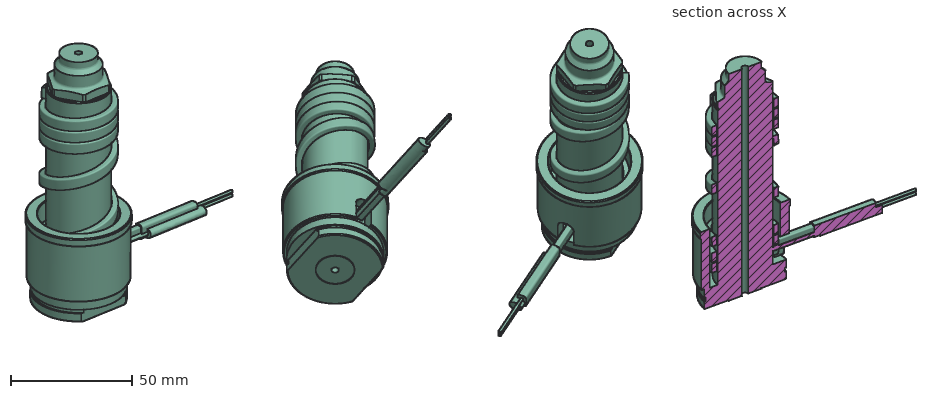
import cadquery as cq
import math

BOSS_HEIGHT = 0.3
GROOVE_BOTTOM = 4.4
GROOVE_TOP = 6.2
SLEEVE_BOTTOM = 10.5
FLANGE_BOTTOM = 36.8
SLEEVE_TOP = 40.6
TUBE_TOP = 100.4
NUT_TOP = 104.9
SHOULDER_TOP = 111.0
TIP_TOP = 116.3

BOSS_RADIUS = 8.0
PLUG_RADIUS = 20.0
GROOVE_RADIUS = 19.25
FLATS_ACROSS = 32.0
SLEEVE_RADIUS = 21.5
FLANGE_RADIUS = 22.0
CAVITY_RADIUS = 17.0
EDGE_CHAMFER = 0.5
MOUTH_CHAMFER = 0.3

TUBE_RADIUS = 13.5
BORE_RADIUS = 1.5
SHOULDER_RADIUS = 10.0
TIP_RADIUS = 8.0
ROOT_FILLET = 1.0
NUT_ACROSS_FLATS = 24.0
NUT_CORNER_RADIUS = 13.5
NUT_BEVEL_ANGLE = 15.0

BAND_HEIGHT = 5.0
BAND_THICKNESS = 2.5
BAND_CLEARANCE = 0.25
BAND_INNER_RADIUS = TUBE_RADIUS + BAND_CLEARANCE
BAND_OUTER_RADIUS = BAND_INNER_RADIUS + BAND_THICKNESS
BAND_MID_RADIUS = BAND_INNER_RADIUS + BAND_THICKNESS / 2
BAND_EDGE_FILLET = 0.6
CLOSE_PITCH = 5.37
OPEN_PITCH = 26.8
BAND_TOP_ANGLE = 1290.0
UPPER_BEND_ANGLE = 138.0
UPPER_BEND_LEVEL = 77.2
LOWER_BEND_ANGLE = -497.0
BAND_BOTTOM_ANGLE = -1350.0
BEND_HALF_SPAN = 59.0
ANGLE_STEP = 15.0

CABLE_ROOT = TUBE_RADIUS - 0.5
CABLE_X = -1.4
CABLE_Z = 19.4
CABLE_WIDTH = 2.8
CABLE_HEIGHT = 5.3
CABLE_FILLET = 0.6
JACKET_THICKNESS = 0.6
JACKET_START = 33.5
JACKET_LENGTH = 30.0
WIRE_RADIUS = 0.65
WIRE_SPACING = 1.9
WIRE_END = 83.5

LEAD_RADIUS = 1.05
LEAD_Z = 18.1
OVAL_WIDTH = 5.7
OVAL_HEIGHT = 4.4
OVAL_START = 36.5

EXIT_SLOT_WIDTH = 7.4

SELECT_MARGIN = 0.1


def cylinder(radius, bottom, top):
    return cq.Workplane("XY").workplane(offset=bottom).circle(radius).extrude(top - bottom)


def along_y(x, z, y_start):
    """Workplane facing +Y at the given start, with local x along -X and local y along Z."""
    return cq.Workplane("XZ", origin=(x, y_start, z)).transformed(rotate=(0, 180, 0))


def make_plug():
    cap = cylinder(PLUG_RADIUS, BOSS_HEIGHT, GROOVE_BOTTOM).faces("<Z").chamfer(EDGE_CHAMFER)
    neck = cylinder(GROOVE_RADIUS, GROOVE_BOTTOM, GROOVE_TOP)
    flats = cq.Workplane("XY").box(
        FLATS_ACROSS, 2 * PLUG_RADIUS, GROOVE_TOP, centered=(True, True, False)
    )
    collar = cylinder(PLUG_RADIUS, GROOVE_TOP, SLEEVE_BOTTOM)
    boss = cylinder(BOSS_RADIUS, 0, BOSS_HEIGHT)
    return cap.union(neck).intersect(flats).union(collar).union(boss)


def make_sleeve():
    body = cylinder(SLEEVE_RADIUS, SLEEVE_BOTTOM, SLEEVE_TOP).faces("<Z").chamfer(EDGE_CHAMFER)
    flange = cylinder(FLANGE_RADIUS, FLANGE_BOTTOM, SLEEVE_TOP).edges().chamfer(EDGE_CHAMFER)
    cavity = cylinder(CAVITY_RADIUS, SLEEVE_BOTTOM, SLEEVE_TOP)
    sleeve = body.union(flange).cut(cavity)
    mouth = sleeve.faces(">Z").edges(cq.selectors.RadiusNthSelector(0))
    return mouth.chamfer(MOUTH_CHAMFER).cut(make_exit_slot())


def make_exit_slot():
    """Round-topped slot through the +Y wall, open at the lower edge of the sleeve."""
    half_width = EXIT_SLOT_WIDTH / 2
    depth = CABLE_Z - SLEEVE_BOTTOM
    return (
        along_y(0, CABLE_Z, 0)
        .moveTo(-half_width, -depth)
        .lineTo(-half_width, 0)
        .threePointArc((0, half_width), (half_width, 0))
        .lineTo(half_width, -depth)
        .close()
        .extrude(FLANGE_RADIUS)
    )


def make_tube():
    tube = cylinder(TUBE_RADIUS, SLEEVE_BOTTOM, TUBE_TOP)
    return tube.faces(">Z").chamfer(EDGE_CHAMFER)


def make_nut():
    """Hexagon with flats facing +-X, rounded corners and a shallow conical top."""
    across_corners = NUT_ACROSS_FLATS / math.cos(math.radians(30))
    hexagon = (
        cq.Workplane("XY")
        .workplane(offset=TUBE_TOP)
        .transformed(rotate=(0, 0, 30))
        .polygon(6, across_corners)
        .extrude(NUT_TOP - TUBE_TOP)
    )
    bevel_drop = (NUT_CORNER_RADIUS - SHOULDER_RADIUS) * math.tan(math.radians(NUT_BEVEL_ANGLE))
    envelope = (
        cq.Workplane("XZ")
        .moveTo(0, TUBE_TOP)
        .lineTo(NUT_CORNER_RADIUS, TUBE_TOP)
        .lineTo(NUT_CORNER_RADIUS, NUT_TOP - bevel_drop)
        .lineTo(SHOULDER_RADIUS, NUT_TOP)
        .lineTo(0, NUT_TOP)
        .close()
        .revolve(360, (0, 0, 0), (0, 1, 0))
    )
    return hexagon.intersect(envelope)


def root_edge(part, level):
    """Circular edge centred on the axis at the given level."""
    near = (-SELECT_MARGIN, -SELECT_MARGIN, level - SELECT_MARGIN)
    far = (SELECT_MARGIN, SELECT_MARGIN, level + SELECT_MARGIN)
    return part.edges(cq.selectors.BoxSelector(near, far))


def make_head():
    """Nut, shoulder with a 45 degree bevel, and tip, with filleted roots."""
    bevel = SHOULDER_RADIUS - TIP_RADIUS
    stepped = (
        cq.Workplane("XZ")
        .moveTo(0, TUBE_TOP)
        .lineTo(SHOULDER_RADIUS, TUBE_TOP)
        .lineTo(SHOULDER_RADIUS, SHOULDER_TOP)
        .lineTo(TIP_RADIUS, SHOULDER_TOP + bevel)
        .lineTo(TIP_RADIUS, TIP_TOP)
        .lineTo(0, TIP_TOP)
        .close()
        .revolve(360, (0, 0, 0), (0, 1, 0))
    )
    head = make_nut().union(stepped)
    head = root_edge(head, NUT_TOP).fillet(ROOT_FILLET)
    return root_edge(head, SHOULDER_TOP + bevel).fillet(ROOT_FILLET)


def ramp(offset):
    """Zero well before the bend, equal to the offset well after it, parabolic between."""
    if offset <= -BEND_HALF_SPAN:
        return 0.0
    if offset >= BEND_HALF_SPAN:
        return offset
    return (offset + BEND_HALF_SPAN) ** 2 / (4 * BEND_HALF_SPAN)


def band_level(angle):
    """Mid-height of the band: the open helix, flattened to the close pitch beyond each bend."""
    open_level = UPPER_BEND_LEVEL + OPEN_PITCH * (angle - UPPER_BEND_ANGLE) / 360
    flattening = ramp(LOWER_BEND_ANGLE - angle) - ramp(angle - UPPER_BEND_ANGLE)
    return open_level + (OPEN_PITCH - CLOSE_PITCH) * flattening / 360


def band_point(angle):
    turn = math.radians(angle)
    return cq.Vector(
        BAND_MID_RADIUS * math.cos(turn), BAND_MID_RADIUS * math.sin(turn), band_level(angle)
    )


def make_band():
    """Rectangular section with rounded outer edges, swept up the helix from its lower end."""
    steps = round((BAND_TOP_ANGLE - BAND_BOTTOM_ANGLE) / ANGLE_STEP)
    points = [band_point(BAND_BOTTOM_ANGLE + i * ANGLE_STEP) for i in range(steps + 1)]
    path = cq.Workplane(cq.Edge.makeSpline(points))
    start = math.radians(BAND_BOTTOM_ANGLE)
    outward = (math.cos(start), math.sin(start), 0)
    climb_per_radian = CLOSE_PITCH / (2 * math.pi)
    backward = (BAND_MID_RADIUS * outward[1], -BAND_MID_RADIUS * outward[0], -climb_per_radian)
    centre = (0, 0, band_level(BAND_BOTTOM_ANGLE))
    half = BAND_HEIGHT / 2
    rim = BAND_OUTER_RADIUS - BAND_EDGE_FILLET
    return (
        cq.Workplane(cq.Plane(centre, outward, backward))
        .moveTo(BAND_INNER_RADIUS, -half)
        .lineTo(rim, -half)
        .radiusArc((BAND_OUTER_RADIUS, BAND_EDGE_FILLET - half), -BAND_EDGE_FILLET)
        .lineTo(BAND_OUTER_RADIUS, half - BAND_EDGE_FILLET)
        .radiusArc((rim, half), -BAND_EDGE_FILLET)
        .lineTo(BAND_INNER_RADIUS, half)
        .close()
        .sweep(path, isFrenet=True)
    )


def flat_cable(width, height, fillet, start, end):
    bar = along_y(CABLE_X, CABLE_Z, start).rect(width, height).extrude(end - start)
    return bar.edges("|Y").fillet(fillet)


def make_cable():
    jacket_end = JACKET_START + JACKET_LENGTH
    cable = flat_cable(CABLE_WIDTH, CABLE_HEIGHT, CABLE_FILLET, CABLE_ROOT, jacket_end)
    jacket = flat_cable(
        CABLE_WIDTH + 2 * JACKET_THICKNESS,
        CABLE_HEIGHT + 2 * JACKET_THICKNESS,
        CABLE_FILLET + JACKET_THICKNESS,
        JACKET_START,
        jacket_end,
    )
    cable = cable.union(jacket)
    for side in (-1, 1):
        wire_z = CABLE_Z + side * WIRE_SPACING / 2
        wire = along_y(CABLE_X, wire_z, JACKET_START).circle(WIRE_RADIUS)
        cable = cable.union(wire.extrude(WIRE_END - JACKET_START))
    return cable


def make_lead():
    lead = along_y(0, LEAD_Z, CABLE_ROOT).circle(LEAD_RADIUS)
    oval = along_y(0, LEAD_Z, OVAL_START).ellipse(OVAL_WIDTH / 2, OVAL_HEIGHT / 2)
    return lead.extrude(OVAL_START - CABLE_ROOT).union(oval.extrude(JACKET_LENGTH))


def make_part():
    part = make_plug().union(make_sleeve()).union(make_tube()).union(make_head())
    part = part.union(make_band()).union(make_cable()).union(make_lead())
    return part.cut(cylinder(BORE_RADIUS, 0, TIP_TOP))


result = make_part()